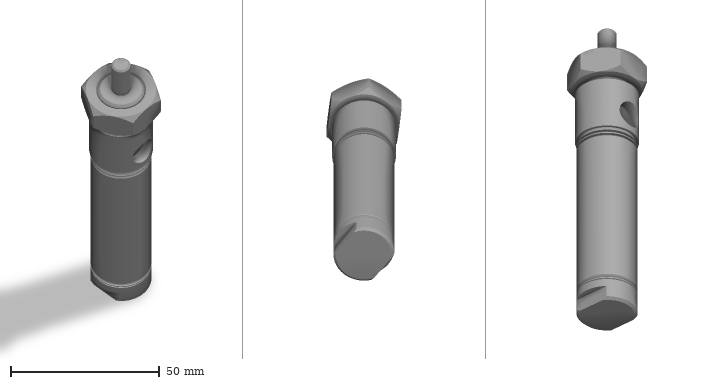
import cadquery as cq
import math

total_length = 113.5
nose_top = 100.7
nut_top = 100.0
nut_bottom = 90.4
head_top = 88.1
head_bottom = 69.3
tube_top = 65.5
tube_bottom = 9.9
rear_cap_top = 7.8

rod_radius = 3.2
nose_radius = 8.0
head_radius = 10.8
tube_radius = 10.3

rod_chamfer = 0.6
nose_chamfer = 0.9
rear_chamfer = 0.9
groove_depth = 1.0
collar_inset = 0.5
collar_bottom = 67.9
ridge_width = 0.3
front_ridge = 66.8
rear_ridge = 8.5

flats_width = 16.0
flats_height = 5.0

port_radius = 4.8
port_depth = 4.0
port_height = 76.2

nut_across_flats = 23.8
nut_face_radius = 11.8
nut_corner_drop = 1.8
nut_countersink = 0.6


def make_turned_body():
    """Nose, head, crimped tube and rear cap as one revolved outline."""
    groove_radius = tube_radius - groove_depth
    outline = [
        (0, 0),
        (tube_radius - rear_chamfer, 0),
        (tube_radius, rear_chamfer),
        (tube_radius, rear_cap_top),
        (groove_radius, rear_cap_top),
        (tube_radius, rear_ridge - ridge_width / 2),
        (tube_radius, rear_ridge + ridge_width / 2),
        (groove_radius, rear_ridge + ridge_width / 2),
        (tube_radius, tube_bottom),
        (tube_radius, tube_top),
        (groove_radius, front_ridge - ridge_width / 2),
        (tube_radius, front_ridge - ridge_width / 2),
        (tube_radius, front_ridge + ridge_width / 2),
        (groove_radius, collar_bottom),
        (tube_radius, collar_bottom),
        (tube_radius - collar_inset, head_bottom),
        (head_radius, head_bottom),
        (head_radius, head_top),
        (nose_radius, head_top),
        (nose_radius, nose_top - nose_chamfer),
        (nose_radius - nose_chamfer, nose_top),
        (0, nose_top),
    ]
    return cq.Workplane("XZ").polyline(outline).close().revolve(360, (0, 0), (0, 1))


def cut_wrench_flats(body):
    """Two parallel flats facing -Y and +Y at the rear end."""
    cutter_length = 2 * head_radius
    for side in (-1, 1):
        cutter = (
            cq.Workplane("XY")
            .center(0, side * (flats_width + cutter_length) / 2)
            .rect(cutter_length, cutter_length)
            .extrude(flats_height)
        )
        body = body.cut(cutter)
    return body


def cut_port(body):
    """Blind round port entering the head from +X."""
    port = (
        cq.Workplane("YZ", origin=(head_radius - port_depth, 0, 0))
        .center(0, port_height)
        .circle(port_radius)
        .extrude(2 * port_depth)
    )
    return body.cut(port)


def make_cylinder():
    return cut_port(cut_wrench_flats(make_turned_body()))


def make_rod():
    """Round rod standing on the nose, with a chamfered tip."""
    return (
        cq.Workplane("XY", origin=(0, 0, nose_top))
        .circle(rod_radius)
        .extrude(total_length - nose_top)
        .faces(">Z")
        .chamfer(rod_chamfer)
    )


def make_nut():
    """Hexagon nut with corners on the Y axis, coned on both faces and bored for the nose."""
    corner_radius = nut_across_flats / math.sqrt(3)
    hexagon = (
        cq.Workplane("XY", origin=(0, 0, nut_bottom))
        .polygon(6, 2 * corner_radius)
        .extrude(nut_top - nut_bottom)
        .rotate((0, 0, 0), (0, 0, 1), 90)
    )
    envelope = [
        (nose_radius, nut_bottom + nut_countersink),
        (nose_radius + nut_countersink, nut_bottom),
        (nut_face_radius, nut_bottom),
        (corner_radius, nut_bottom + nut_corner_drop),
        (corner_radius, nut_top - nut_corner_drop),
        (nut_face_radius, nut_top),
        (nose_radius + nut_countersink, nut_top),
        (nose_radius, nut_top - nut_countersink),
    ]
    ring = cq.Workplane("XZ").polyline(envelope).close().revolve(360, (0, 0), (0, 1))
    return hexagon.intersect(ring)


cylinder = make_cylinder()
rod = make_rod()
nut = make_nut()

result = cq.Compound.makeCompound([cylinder.val(), rod.val(), nut.val()])